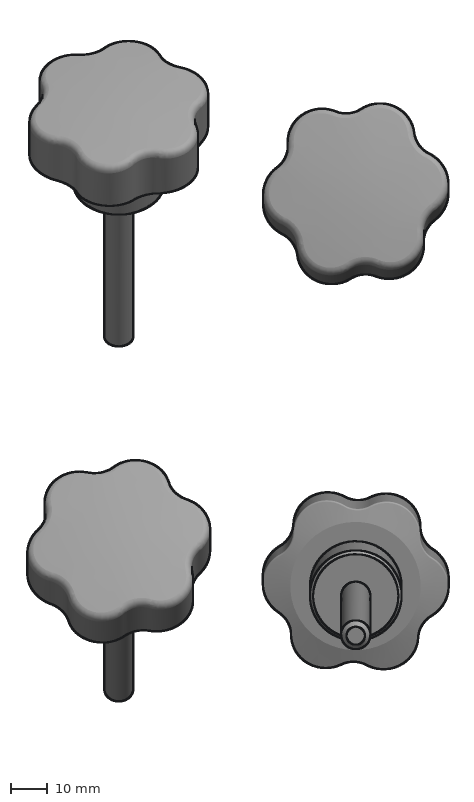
import math

import cadquery as cq

head_and_hub_height = 32.96
lobe_count = 6
lobe_pitch_radius = 16.0
lobe_radius = 9.35
valley_radius = 7.25
dome_radius = 175.0
top_fillet = 2.0
under_flat_diameter = 35.5
under_cone_angle = 15.0
under_fillet = 0.5

hub_diameter = 25.0
hub_height = 14.8
hub_chamfer = 0.9

pin_diameter = 8.0
pin_length = 60.0
pin_chamfer = 1.5

envelope_margin = 2.0

head_bottom = hub_height
head_top = head_and_hub_height
head_height = head_top - head_bottom

lobe_step = 2 * math.pi / lobe_count
half_step = lobe_step / 2
under_flat_radius = under_flat_diameter / 2
head_radius = lobe_pitch_radius + lobe_radius


half_spacing = lobe_pitch_radius * math.sin(half_step)
midpoint_radius = lobe_pitch_radius * math.cos(half_step)
center_distance = lobe_radius + valley_radius
reach = math.sqrt(center_distance**2 - half_spacing**2)
valley_floor = midpoint_radius + reach - valley_radius

lobe_share = lobe_radius / center_distance
tangent_along = midpoint_radius + reach * lobe_share
tangent_across = half_spacing * (1 - lobe_share)
tangent_radius = math.hypot(tangent_along, tangent_across)
tangent_angle = math.atan2(tangent_across, tangent_along)


def polar(radius, angle):
    """Point at a distance and an angle in radians from the axis."""
    return (radius * math.cos(angle), radius * math.sin(angle))


def lobed_prism():
    """Prism whose outline alternates convex lobes with tangent concave valleys."""
    outline = cq.Workplane("XY").workplane(offset=head_bottom)
    outline = outline.moveTo(*polar(tangent_radius, -tangent_angle))
    for index in range(lobe_count):
        valley_angle = index * lobe_step
        lobe_angle = valley_angle + half_step
        next_valley_angle = valley_angle + lobe_step
        outline = outline.threePointArc(
            polar(valley_floor, valley_angle),
            polar(tangent_radius, valley_angle + tangent_angle),
        )
        outline = outline.threePointArc(
            polar(head_radius, lobe_angle),
            polar(tangent_radius, next_valley_angle - tangent_angle),
        )
    return outline.close().extrude(head_height)


def dome_ball():
    """Ball whose top is the domed face; its poles point along Y, so no seam crosses the dome."""
    ball = cq.Workplane("XY").sphere(dome_radius).rotate((0, 0, 0), (1, 0, 0), 90)
    return ball.translate((0, 0, head_top - dome_radius))


def cone_height(radius):
    """Height of the conical underside at a distance from the axis."""
    return head_bottom + (radius - under_flat_radius) * math.tan(math.radians(under_cone_angle))


def underside_cone():
    """Turned body with a flat bottom and a conical underside, open to the full head height."""
    outer = head_radius + envelope_margin
    return (
        cq.Workplane("XZ")
        .moveTo(0, head_bottom)
        .lineTo(under_flat_radius, head_bottom)
        .lineTo(outer, cone_height(outer))
        .lineTo(outer, head_top)
        .lineTo(0, head_top)
        .close()
        .revolve(360, (0, 0, 0), (0, 1, 0))
    )


def rim_edges(lower, upper):
    """Selector for the edges whose centres lie between two heights."""
    return cq.selectors.BoxSelector(
        (-head_radius, -head_radius, lower),
        (head_radius, head_radius, upper),
    )


def make_head():
    """Lobed head with domed top, conical underside and rounded rims."""
    head = lobed_prism().intersect(dome_ball()).intersect(underside_cone())
    upper_rim = rim_edges(head_top - head_height / 4, head_top)
    head = head.edges(upper_rim).fillet(top_fillet)

    rim_start = cone_height(valley_floor - under_fillet)
    lower_rim = rim_edges(rim_start, head_bottom + head_height / 4)
    return head.edges(lower_rim).fillet(under_fillet)


def make_hub():
    """Round hub with a chamfered lower edge."""
    hub = cq.Workplane("XY").circle(hub_diameter / 2).extrude(hub_height)
    return hub.faces("<Z").chamfer(hub_chamfer)


def make_pin():
    """Plain pin with a chamfered tip."""
    pin = cq.Workplane("XY").circle(pin_diameter / 2).extrude(-pin_length)
    return pin.faces("<Z").chamfer(pin_chamfer)


result = make_head().union(make_hub()).union(make_pin())